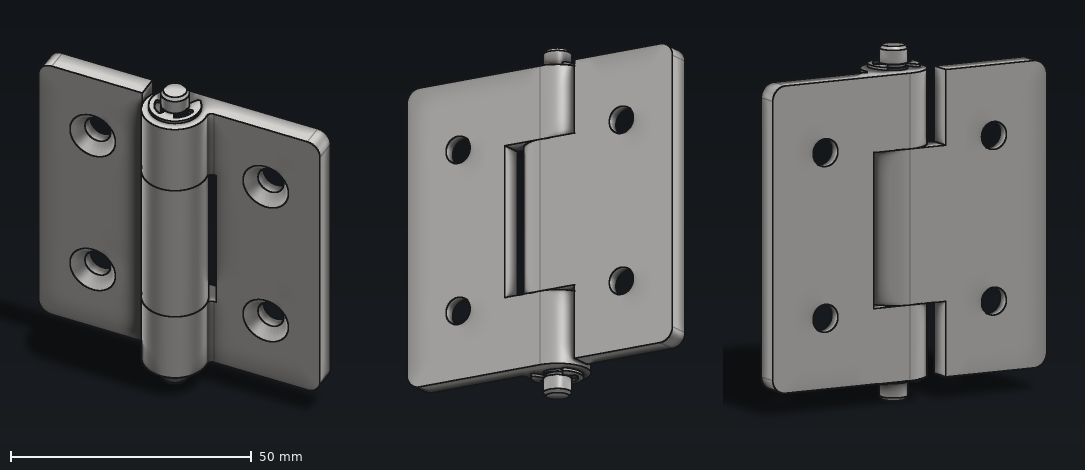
import cadquery as cq
import math

hinge_width = 65.0
leaf_height = 65.0
leaf_thickness = 5.0
corner_radius = 3.0
barrel_diameter = 14.0
middle_knuckle_height = 33.0
root_fillet = 1.0
knuckle_gap = 1.5

screw_hole_diameter = 5.85
countersink_diameter = 10.5
countersink_angle = 90.0
screw_spacing_x = 40.0
screw_spacing_z = 35.0

pin_length = 75.0
pin_diameter = 6.0
pin_chamfer_radial = 0.5
pin_chamfer_axial = 0.75
groove_diameter = 5.0
groove_width = 0.75

clip_diameter = 11.0
clip_thickness = 0.6
clip_offset = 0.45
clip_window_diameter = 8.6
clip_opening_half_angle = 31.0
clip_mouth_width = 4.2
clip_lug_half_angle = 22.0
clip_tip_fillet = 0.5
clip_window_fillet = 0.4

barrel_radius = barrel_diameter / 2
pin_radius = pin_diameter / 2
groove_radius = groove_diameter / 2
back_y = barrel_radius
front_y = back_y - leaf_thickness
leaf_edge_x = barrel_radius + knuckle_gap
clip_base_z = leaf_height / 2 + clip_offset


def knuckle(bottom_z, height):
    """Barrel length with its web and root fillet, joining a leaf on the +X side."""
    fillet_y = front_y - root_fillet
    centre_distance = barrel_radius + root_fillet
    fillet_x = math.sqrt(centre_distance**2 - fillet_y**2)
    touch_x = fillet_x * barrel_radius / centre_distance
    touch_y = fillet_y * barrel_radius / centre_distance
    touch_angle = math.pi + math.atan2(fillet_y, fillet_x)
    middle_angle = (math.pi / 2 + touch_angle) / 2
    fillet_middle = (
        fillet_x + root_fillet * math.cos(middle_angle),
        fillet_y + root_fillet * math.sin(middle_angle),
    )
    return (
        cq.Workplane("XY", origin=(0, 0, bottom_z))
        .moveTo(0, back_y)
        .lineTo(leaf_edge_x, back_y)
        .lineTo(leaf_edge_x, front_y)
        .lineTo(fillet_x, front_y)
        .threePointArc(fillet_middle, (touch_x, touch_y))
        .threePointArc((-barrel_radius, 0), (0, back_y))
        .close()
        .extrude(height)
    )


def leaf_plate():
    """Flat leaf on the +X side with rounded outer corners and countersunk screw holes."""
    plate_width = hinge_width / 2 - leaf_edge_x
    plate = (
        cq.Workplane("XY")
        .box(plate_width, leaf_thickness, leaf_height, centered=(False, False, True))
        .translate((leaf_edge_x, front_y, 0))
        .edges("|Y and >X")
        .fillet(corner_radius)
    )
    hole_points = [(screw_spacing_x / 2, side * screw_spacing_z / 2) for side in (-1, 1)]
    return (
        plate.copyWorkplane(cq.Workplane("XZ", origin=(0, front_y, 0)))
        .pushPoints(hole_points)
        .cskHole(screw_hole_diameter, countersink_diameter, countersink_angle)
    )


def leaf(knuckles):
    """Leaf on the +X side carrying the given knuckles, bored for the pin."""
    body = leaf_plate()
    for bottom_z, height in knuckles:
        body = body.union(knuckle(bottom_z, height))
    bore = cq.Workplane("XY").circle(pin_radius).extrude(leaf_height / 2, both=True)
    return body.cut(bore)


def hinge_pin():
    """Chamfered pin with a clip groove near each end."""
    half_length = pin_length / 2
    chamfer_z = half_length - pin_chamfer_axial
    tip_radius = pin_radius - pin_chamfer_radial
    groove_top_z = clip_base_z + groove_width
    upper_half = (
        cq.Workplane("XZ")
        .lineTo(pin_radius, 0)
        .lineTo(pin_radius, clip_base_z)
        .lineTo(groove_radius, clip_base_z)
        .lineTo(groove_radius, groove_top_z)
        .lineTo(pin_radius, groove_top_z)
        .lineTo(pin_radius, chamfer_z)
        .lineTo(tip_radius, half_length)
        .lineTo(0, half_length)
        .close()
        .revolve(360, (0, 0, 0), (0, 1, 0))
    )
    return upper_half.union(upper_half.mirror("XY"))


def clip_window():
    """Cutter for the round centre and the relief between the -X prong and the -Y lug."""
    window_radius = clip_window_diameter / 2
    end_angle = math.radians(270 - clip_lug_half_angle)
    middle_angle = (math.pi + end_angle) / 2
    sector = (
        cq.Workplane("XY")
        .lineTo(-window_radius, 0)
        .threePointArc(
            (window_radius * math.cos(middle_angle), window_radius * math.sin(middle_angle)),
            (window_radius * math.cos(end_angle), window_radius * math.sin(end_angle)),
        )
        .close()
        .extrude(clip_thickness)
    )
    hub = cq.Workplane("XY").circle(groove_radius).extrude(clip_thickness)
    return sector.edges("|Z and (not >X)").fillet(clip_window_fillet).union(hub)


def retaining_clip():
    """E-shaped retaining clip, open toward +Y, standing on z = 0."""
    opening_slope = math.tan(math.radians(clip_opening_half_angle))
    mouth_half_width = clip_mouth_width / 2
    mouth_y = math.sqrt(groove_radius**2 - mouth_half_width**2)
    outer_half_width = mouth_half_width + (clip_diameter - mouth_y) * opening_slope
    opening = (
        cq.Workplane("XY")
        .moveTo(-mouth_half_width, mouth_y)
        .lineTo(mouth_half_width, mouth_y)
        .lineTo(outer_half_width, clip_diameter)
        .lineTo(-outer_half_width, clip_diameter)
        .close()
        .extrude(clip_thickness)
    )
    prong_tips = cq.selectors.BoxSelector(
        (-clip_diameter, pin_radius, 0), (clip_diameter, clip_diameter, clip_thickness)
    )
    window = clip_window()
    return (
        cq.Workplane("XY")
        .circle(clip_diameter / 2)
        .extrude(clip_thickness)
        .cut(opening)
        .edges("|Z")
        .edges(prong_tips)
        .fillet(clip_tip_fillet)
        .cut(window)
        .cut(window.mirror("YZ"))
    )


end_knuckle_height = (leaf_height - middle_knuckle_height) / 2
middle_knuckle = (-middle_knuckle_height / 2, middle_knuckle_height)
end_knuckles = [(z, end_knuckle_height) for z in (-leaf_height / 2, middle_knuckle_height / 2)]

right_leaf = leaf(end_knuckles)
left_leaf = leaf([middle_knuckle]).mirror("YZ")
pin = hinge_pin()

clips = []
for flipped in (False, True):
    clip = retaining_clip().translate((0, 0, clip_base_z))
    clips.append(clip.mirror("XY") if flipped else clip)

result = cq.Compound.makeCompound(
    [right_leaf.val(), left_leaf.val(), pin.val(), *[clip.val() for clip in clips]]
)